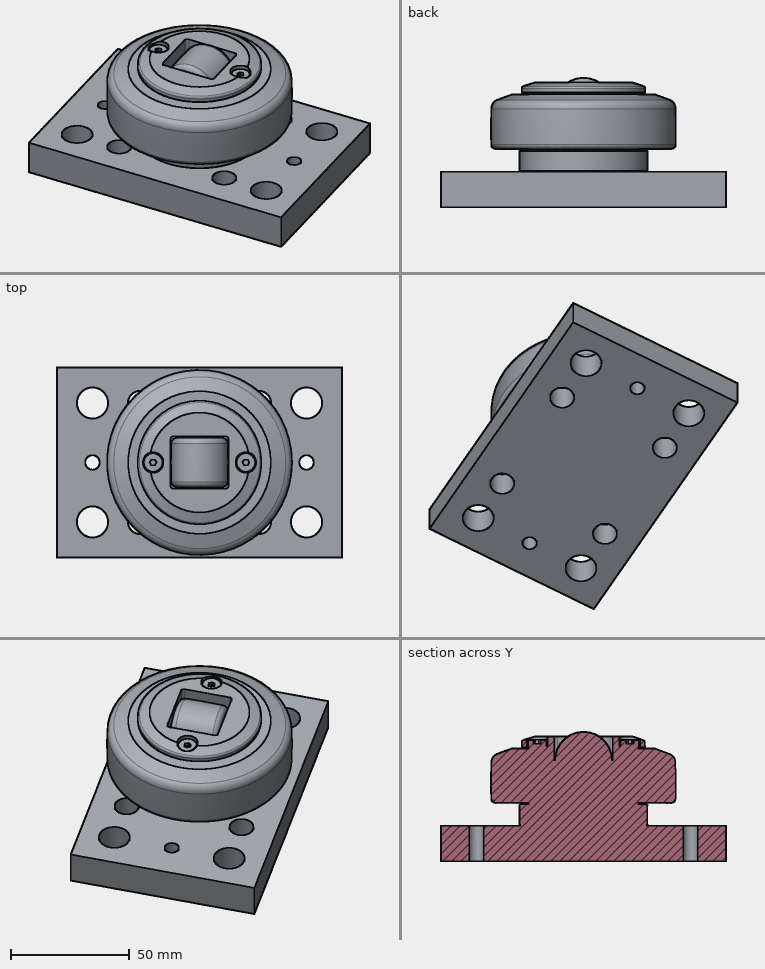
import cadquery as cq
import math

PLATE_LENGTH = 120.0
PLATE_WIDTH = 80.0
PLATE_THICKNESS = 15.0
MOUNTING_HOLE_DIAMETER = 13.0
MOUNTING_HOLE_X = 45.0
HOLE_ROW_Y = 25.0
THREADED_HOLE_DIAMETER = 10.11
THREADED_HOLE_X = 25.0
DOWEL_HOLE_DIAMETER = 6.0

STEM_DIAMETER = 54.0
STEM_TOP = 24.0
STEM_CHAMFER = 0.4

RING_DIAMETER = 77.9
RING_BOTTOM = 24.5
RING_TOP = 47.5
RING_TOP_FLAT_DIAMETER = 60.0
RING_TOP_ROUND = 4.0
RING_BOTTOM_ROUND = 2.0
RING_CROWN = 0.15

COVER_DIAMETER = 52.0
COVER_BOTTOM = 47.8
COVER_TOP = 52.5
COVER_TOP_FLAT_DIAMETER = 42.0
COVER_TOP_ROUND = 1.0
COVER_BOTTOM_CHAMFER = 0.5

NECK_DIAMETER = 46.2

CONE_ANGLE = 20.0

SIDE_ROLLER_DIAMETER = 24.0
SIDE_ROLLER_LENGTH = 20.8
SIDE_ROLLER_ROUND = 2.4
SIDE_ROLLER_CROWN = 0.2
OVERALL_HEIGHT = 54.5
SIDE_ROLLER_AXIS_Z = OVERALL_HEIGHT - SIDE_ROLLER_DIAMETER / 2
WINDOW_LENGTH = 24.4
WINDOW_WIDTH = 22.0
WINDOW_CORNER_RADIUS = 1.2

SCREW_X = 19.5
SCREW_BORE_DIAMETER = 8.6
SCREW_BORE_DEPTH = 4.0
SCREW_HEAD_DIAMETER = 7.8
SCREW_HEAD_RECESS = 1.5
SOCKET_ACROSS_FLATS = 2.5
SOCKET_DEPTH = 1.5


def cylinder(diameter, bottom, top):
    """Vertical cylinder on the Z axis."""
    return cq.Workplane("XY").workplane(offset=bottom).circle(diameter / 2).extrude(top - bottom)


def cone_topped_disc(diameter, bottom, top, flat_diameter, round_radius, crown=0):
    """Disc whose flat top falls away as a cone and blends into the rim by a round.

    A crown bulges the rim outward by that height, keeping the diameter at its crest.
    """
    crest_radius = diameter / 2
    radius = crest_radius - crown
    flat_radius = flat_diameter / 2
    slope = math.radians(CONE_ANGLE)
    mid_angle = (math.pi / 2 - slope) / 2
    center_r = radius - round_radius
    cone_end_r = center_r + round_radius * math.sin(slope)
    cone_end_z = top - (cone_end_r - flat_radius) * math.tan(slope)
    center_z = cone_end_z - round_radius * math.cos(slope)
    round_middle = (
        center_r + round_radius * math.cos(mid_angle),
        center_z + round_radius * math.sin(mid_angle),
    )
    profile = (
        cq.Workplane("XZ")
        .moveTo(0, bottom)
        .lineTo(radius, bottom)
    )
    if crown:
        profile = profile.threePointArc((crest_radius, (bottom + center_z) / 2), (radius, center_z))
    else:
        profile = profile.lineTo(radius, center_z)
    profile = (
        profile
        .threePointArc(round_middle, (cone_end_r, cone_end_z))
        .lineTo(flat_radius, top)
        .lineTo(0, top)
        .close()
    )
    return profile.revolve(360, (0, 0, 0), (0, 1, 0))


def through_holes(diameter, points):
    return cq.Workplane("XY").pushPoints(points).circle(diameter / 2).extrude(PLATE_THICKNESS)


def four_corners(x, y):
    return [(sx * x, sy * y) for sx in (-1, 1) for sy in (-1, 1)]


def base_plate():
    plate = cq.Workplane("XY").box(
        PLATE_LENGTH, PLATE_WIDTH, PLATE_THICKNESS, centered=(True, True, False)
    )
    plate = plate.cut(through_holes(MOUNTING_HOLE_DIAMETER, four_corners(MOUNTING_HOLE_X, HOLE_ROW_Y)))
    plate = plate.cut(through_holes(THREADED_HOLE_DIAMETER, four_corners(THREADED_HOLE_X, HOLE_ROW_Y)))
    dowel_points = [(-MOUNTING_HOLE_X, 0), (MOUNTING_HOLE_X, 0)]
    return plate.cut(through_holes(DOWEL_HOLE_DIAMETER, dowel_points))


def stem():
    body = cylinder(STEM_DIAMETER, PLATE_THICKNESS, STEM_TOP)
    body = body.faces("<Z or >Z").edges().chamfer(STEM_CHAMFER)
    neck = cylinder(NECK_DIAMETER, STEM_TOP, RING_BOTTOM)
    return body.union(neck)


def roller_ring():
    ring = cone_topped_disc(
        RING_DIAMETER, RING_BOTTOM, RING_TOP, RING_TOP_FLAT_DIAMETER, RING_TOP_ROUND, RING_CROWN
    )
    return ring.faces("<Z").edges().fillet(RING_BOTTOM_ROUND)


def cover():
    neck = cylinder(NECK_DIAMETER, RING_TOP, COVER_BOTTOM)
    disc = cone_topped_disc(
        COVER_DIAMETER, COVER_BOTTOM, COVER_TOP, COVER_TOP_FLAT_DIAMETER, COVER_TOP_ROUND
    )
    disc = disc.faces("<Z").edges().chamfer(COVER_BOTTOM_CHAMFER)
    return neck.union(disc)


def window():
    """Pocket around the upper half of the side roller, with its floor at the roller axis."""
    return (
        cq.Workplane("XY")
        .workplane(offset=SIDE_ROLLER_AXIS_Z)
        .rect(WINDOW_LENGTH, WINDOW_WIDTH)
        .extrude(COVER_TOP - SIDE_ROLLER_AXIS_Z)
        .edges("|Z")
        .fillet(WINDOW_CORNER_RADIUS)
    )


def side_roller():
    """Crowned roller along Y with rounded ends; its lower half is embedded below the window floor."""
    crest_radius = SIDE_ROLLER_DIAMETER / 2
    end_radius = crest_radius - SIDE_ROLLER_CROWN
    half_length = SIDE_ROLLER_LENGTH / 2
    profile = (
        cq.Workplane("XY")
        .moveTo(0, -half_length)
        .lineTo(end_radius, -half_length)
        .threePointArc((crest_radius, 0), (end_radius, half_length))
        .lineTo(0, half_length)
        .close()
    )
    roller = profile.revolve(360, (0, 0, 0), (0, 1, 0))
    roller = roller.edges("<Y or >Y").fillet(SIDE_ROLLER_ROUND)
    return roller.rotate((0, 0, 0), (0, 1, 0), 90).translate((0, 0, SIDE_ROLLER_AXIS_Z))


def screw_bore():
    return cylinder(SCREW_BORE_DIAMETER, COVER_TOP - SCREW_BORE_DEPTH, COVER_TOP)


def screw_head():
    head_top = COVER_TOP - SCREW_HEAD_RECESS
    head = cylinder(SCREW_HEAD_DIAMETER, COVER_TOP - SCREW_BORE_DEPTH, head_top)
    across_corners = SOCKET_ACROSS_FLATS / math.cos(math.pi / 6)
    socket = cq.Workplane("XY").workplane(offset=head_top).polygon(6, across_corners).extrude(-SOCKET_DEPTH)
    return head.cut(socket)


result = base_plate().union(stem()).union(roller_ring()).union(cover())
result = result.cut(window()).union(side_roller())
for screw_x in (-SCREW_X, SCREW_X):
    position = (screw_x, 0, 0)
    result = result.cut(screw_bore().translate(position)).union(screw_head().translate(position))